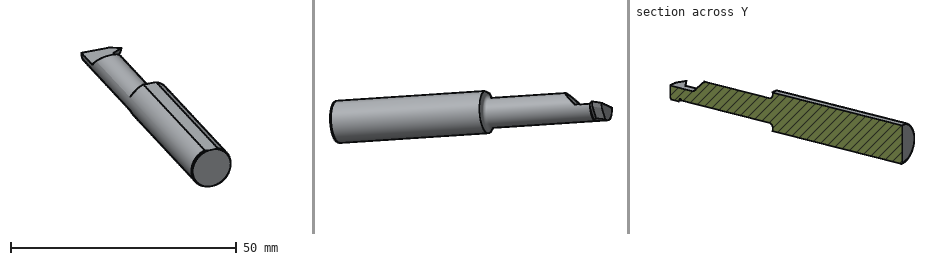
import cadquery as cq
import math

length = 63.5
shank_radius = 4.75
shank_flat_height = 4.5
shoulder_x = 27.95
end_chamfer_length = 0.4
end_chamfer_depth = 0.2

neck_radius = 3.35
neck_offset = 1.5
shoulder_fillet = 0.75
neck_side_y = neck_radius - neck_offset

rake_length = 6.35
slope_angle = 45.0

tip_x = 1.35
tip_y = 4.45
tooth_slope = math.tan(math.radians(60.0))
tooth_front_y = tip_y - tip_x * tooth_slope
tooth_end_x = tip_x + (tip_y - neck_side_y) / tooth_slope
upper_facet_depth = 1.15
upper_facet_setback = 0.4
lower_facet_angle = 45.0


def make_shank_bar():
    """Full-length bar with the shank's diameter, rear chamfer and top flat."""
    bar = (
        cq.Workplane("XY")
        .moveTo(0, 0)
        .lineTo(0, shank_radius)
        .lineTo(length - end_chamfer_length, shank_radius)
        .lineTo(length, shank_radius - end_chamfer_depth)
        .lineTo(length, 0)
        .close()
        .revolve(360, (0, 0, 0), (1, 0, 0))
    )
    below_flat = cq.Workplane("XY").box(
        length, 2 * shank_radius, shank_radius + shank_flat_height, centered=(False, True, False)
    ).translate((0, 0, -shank_radius))
    return bar.intersect(below_flat)


def make_neck():
    """Round neck flaring into the shoulder through a concave fillet."""
    fillet_start = shoulder_x - shoulder_fillet
    arc_reach = shoulder_fillet * math.sin(math.radians(45))
    arc_rise = shoulder_fillet * (1 - math.cos(math.radians(45)))
    return (
        cq.Workplane("XY")
        .moveTo(0, 0)
        .lineTo(0, neck_radius)
        .lineTo(fillet_start, neck_radius)
        .threePointArc(
            (fillet_start + arc_reach, neck_radius + arc_rise),
            (shoulder_x, neck_radius + shoulder_fillet),
        )
        .lineTo(shoulder_x, 0)
        .close()
        .revolve(360, (0, 0, 0), (1, 0, 0))
        .translate((0, -neck_offset, 0))
    )


def cut_rake_face(neck):
    """Remove the upper half of the head, ending at the sloping face."""
    slope_run = shank_radius / math.tan(math.radians(slope_angle))
    clearance = (
        cq.Workplane("XZ")
        .polyline([
            (0, 0),
            (rake_length, 0),
            (rake_length + slope_run, shank_radius),
            (0, shank_radius),
        ])
        .close()
        .extrude(shank_radius, both=True)
    )
    return neck.cut(clearance)


def head_layer(top_z, bottom_z, top_setback, bottom_setback):
    """Tooth outline carried downwards while it moves back towards -Y."""
    def outline(setback):
        return [
            (0, -2 * shank_radius),
            (0, tooth_front_y - setback),
            (tip_x, tip_y - setback),
            (tooth_end_x, neck_side_y - setback),
            (tooth_end_x, -2 * shank_radius),
        ]

    return (
        cq.Workplane("XY", origin=(0, 0, top_z))
        .polyline(outline(top_setback))
        .close()
        .workplane(offset=bottom_z - top_z)
        .polyline(outline(bottom_setback))
        .close()
        .loft(ruled=True)
    )


def make_head(neck):
    """Cutting head: tooth and clearance facets, rounded at the back by the neck."""
    lower_depth = neck_radius - upper_facet_depth
    lower_setback = upper_facet_setback + lower_depth / math.tan(math.radians(lower_facet_angle))
    facets = head_layer(0, -upper_facet_depth, 0, upper_facet_setback).union(
        head_layer(-upper_facet_depth, -neck_radius, upper_facet_setback, lower_setback)
    )
    tooth_block = cq.Workplane("XY").box(
        tooth_end_x, tip_y + neck_offset, neck_radius, centered=False
    ).translate((0, -neck_offset, -neck_radius))
    return neck.union(tooth_block).intersect(facets)


def keep_from(body, start_x):
    """Part of the body lying beyond start_x."""
    keep = cq.Workplane("XY").box(
        length - start_x, 4 * shank_radius, 4 * shank_radius, centered=(False, True, True)
    ).translate((start_x, 0, 0))
    return body.intersect(keep)


shank_bar = make_shank_bar()
shank = keep_from(shank_bar, shoulder_x)
neck = cut_rake_face(make_neck()).intersect(shank_bar)
head = make_head(neck)
result = shank.union(keep_from(neck, tooth_end_x)).union(head)